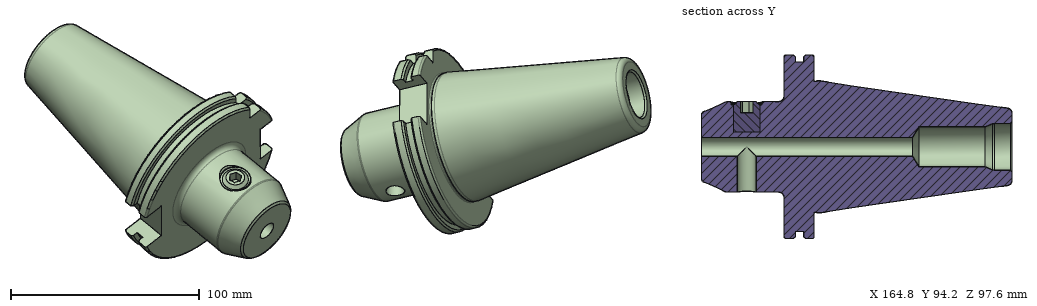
import cadquery as cq
import math


gauge_radius = 35.1
taper_length = 101.8
taper_ratio = 7 / 24
small_end_radius = gauge_radius - taper_length * taper_ratio / 2
small_end_fillet = 3.0

relief_start_x = 1.6
relief_depth = 0.3
relief_fillet = 0.5

flange_start_x = 3.1
flange_end_x = 19.1
flange_radius = 48.8
flange_fillet = 1.0
groove_center_x = 10.9
groove_width = 4.3
groove_floor_radius = 45.1
groove_chamfer = 1.0

slot_width = 25.7
slot_floor_front = 35.5
slot_floor_back = 37.7
notch_y = 30.0
notch_z = 30.0

nose_radius = 24.0
nose_root_fillet = 3.0
overall_length = 164.8
nose_end_x = overall_length - taper_length
nose_cone_start_x = 50.0
nose_shoulder_fillet = 1.6
nose_tip_radius = 18.6
nose_face_radius = 17.5
nose_chamfer_length = 1.0

mouth_radius = 13.3
mouth_depth = 1.0
counterbore_radius = 12.4
counterbore_depth = 9.4
land_radius = 12.2
land_depth = 10.5
thread_radius = 10.5
thread_start_depth = 14.3
thread_end_depth = 49.5
through_radius = 5.0
drill_point_angle = 118
drill_point_slope = math.tan(math.radians(drill_point_angle / 2))
drill_point_length = (thread_radius - through_radius) / drill_point_slope

screw_to_nose_end = 24.0
screw_x = nose_end_x - screw_to_nose_end
screw_radius = 7.0
screw_top_radius = 5.0
screw_chamfer_height = 1.6
screw_length = 16.0
screw_top_z = nose_radius
screw_bottom_z = screw_top_z - screw_length
seat_radius = 8.0
seat_floor_z = screw_top_z - screw_chamfer_height
seat_rim_radius = 9.0
seat_overrun = 0.8
socket_width = 6.0
socket_depth = 6.0
socket_angle = 8
lower_hole_radius = 5.0


def turned(points):
    """Revolve an (x, radius) outline about the X axis."""
    return cq.Workplane("XY").polyline(points).close().revolve(360, (0, 0, 0), (1, 0, 0))


def fillet_ring(body, x, radius, size):
    """Fillet the one circular edge of a turned body at this x and radius."""
    tolerance = 0.02
    ring = [
        edge
        for edge in body.edges("%CIRCLE").vals()
        if abs(edge.Center().x - x) < tolerance and abs(edge.radius() - radius) < tolerance
    ]
    return body.newObject(ring).fillet(size)


def make_blank():
    relief_radius = gauge_radius - relief_depth
    groove_start_x = groove_center_x - groove_width / 2
    groove_end_x = groove_center_x + groove_width / 2
    groove_edge_radius = flange_radius - groove_chamfer
    blank = turned([
        (-taper_length, 0),
        (-taper_length, small_end_radius),
        (0, gauge_radius),
        (relief_start_x, gauge_radius),
        (relief_start_x + relief_depth, relief_radius),
        (flange_start_x, relief_radius),
        (flange_start_x, flange_radius),
        (groove_start_x - groove_chamfer, flange_radius),
        (groove_start_x, groove_edge_radius),
        (groove_start_x, groove_floor_radius),
        (groove_end_x, groove_floor_radius),
        (groove_end_x, groove_edge_radius),
        (groove_end_x + groove_chamfer, flange_radius),
        (flange_end_x, flange_radius),
        (flange_end_x, nose_radius),
        (nose_cone_start_x, nose_radius),
        (nose_end_x - nose_chamfer_length, nose_tip_radius),
        (nose_end_x, nose_face_radius),
        (nose_end_x, 0),
    ])
    rings = [
        (-taper_length, small_end_radius, small_end_fillet),
        (flange_start_x, relief_radius, relief_fillet),
        (flange_start_x, flange_radius, flange_fillet),
        (flange_end_x, flange_radius, flange_fillet),
        (flange_end_x, nose_radius, nose_root_fillet),
        (nose_cone_start_x, nose_radius, nose_shoulder_fillet),
    ]
    for x, radius, size in rings:
        blank = fillet_ring(blank, x, radius, size)
    return blank


def make_bore():
    start_x = -taper_length
    return turned([
        (start_x, 0),
        (start_x, mouth_radius),
        (start_x + mouth_depth, counterbore_radius),
        (start_x + counterbore_depth, counterbore_radius),
        (start_x + counterbore_depth, land_radius),
        (start_x + land_depth, land_radius),
        (start_x + thread_start_depth, thread_radius),
        (start_x + thread_end_depth, thread_radius),
        (start_x + thread_end_depth + drill_point_length, through_radius),
        (nose_end_x, through_radius),
        (nose_end_x, 0),
    ])


def flange_block(y_min, y_max, z_min, z_max):
    """A box over the full flange thickness."""
    thickness = flange_end_x - flange_start_x
    block = cq.Workplane("XY").box(thickness, y_max - y_min, z_max - z_min, centered=False)
    return block.translate((flange_start_x, y_min, z_min))


def make_flange_cuts():
    half_slot = slot_width / 2
    front_slot = flange_block(-flange_radius, -slot_floor_front, -half_slot, half_slot)
    back_slot = flange_block(slot_floor_back, flange_radius, -half_slot, half_slot)
    notch = flange_block(notch_y, flange_radius, notch_z, flange_radius)
    return [front_slot, back_slot, notch]


def screw_plane(z):
    """A horizontal workplane centred on the screw axis at height z."""
    return cq.Workplane("XY", origin=(screw_x, 0, z))


def make_screw_hole():
    hole = screw_plane(screw_bottom_z).circle(screw_radius).extrude(screw_length)
    rim_start_z = nose_radius - (seat_rim_radius - seat_radius)
    seat = (
        cq.Workplane("XZ")
        .polyline([
            (0, seat_floor_z),
            (seat_radius, seat_floor_z),
            (seat_radius, rim_start_z),
            (seat_rim_radius + seat_overrun, nose_radius + seat_overrun),
            (0, nose_radius + seat_overrun),
        ])
        .close()
        .revolve(360, (0, 0, 0), (0, 1, 0))
        .translate((screw_x, 0, 0))
    )
    lower_hole = screw_plane(-nose_radius).circle(lower_hole_radius).extrude(nose_radius)
    return [hole, seat, lower_hole]


def make_holder():
    holder = make_blank().cut(make_bore())
    for cutter in make_flange_cuts() + make_screw_hole():
        holder = holder.cut(cutter)
    return holder


def make_screw():
    corner_diameter = socket_width / math.cos(math.pi / 6)
    socket = (
        screw_plane(screw_top_z - socket_depth)
        .transformed(rotate=(0, 0, socket_angle))
        .polygon(6, corner_diameter)
        .extrude(socket_depth)
    )
    screw = screw_plane(screw_bottom_z).circle(screw_radius).extrude(screw_length)
    chamfer_width = screw_radius - screw_top_radius
    screw = screw.faces(">Z").chamfer(screw_chamfer_height, chamfer_width)
    return screw.cut(socket)


holder = make_holder()
set_screw = make_screw()

result = cq.Compound.makeCompound([holder.val(), set_screw.val()])